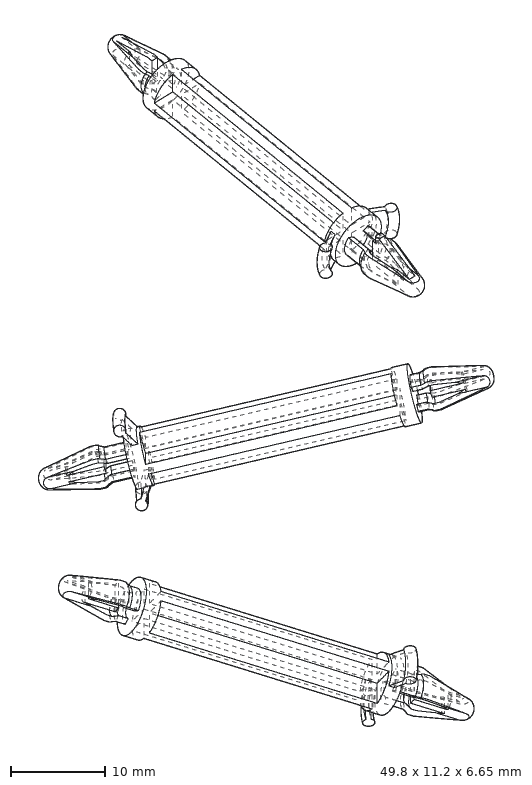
import cadquery as cq
import math

overall_length = 49.75

post_start = 8.6
post_end = 39.7
post_radius = 3.25
collar_length = 1.8
rib_thickness = 1.2

pin_flat_half_height = 1.05
pin_flat_half_width = 0.7
pin_flare_angle = 26
pin_embed = 0.5
flare_margin = 0.5
hollow_start = 3.2
hollow_tip_radius = 1.1
arm_thickness = 0.7
fin_thickness = 0.8

wing_half_height = 2
wing_root_x = 38.4
wing_root_radius = 3
wing_thickness = 0.55
bead_x = 39.7
bead_radius = 0.65
wing_span = 11.2
bead_ring_radius = wing_span / 2 - bead_radius


def revolve_about_axis(profile):
    return profile.revolve(360, (0, 0, 0), (1, 0, 0))


def make_post():
    length = post_end - post_start
    post = cq.Workplane("YZ", origin=(post_start, 0, 0)).circle(post_radius).extrude(length)
    trough_length = length - 2 * collar_length
    trough_offset = (rib_thickness + post_radius) / 2
    troughs = (
        cq.Workplane("YZ", origin=(post_start + collar_length, 0, 0))
        .rarray(2 * trough_offset, 2 * trough_offset, 2, 2)
        .rect(post_radius, post_radius)
        .extrude(trough_length)
    )
    return post.cut(troughs)


def make_pin(length, tip_radius, nose, taper_end, bulge_end, shoulder, neck_start,
             nose_radius, bulge_radius, shoulder_radius, neck_radius, fin_outline):
    """Split pin with its tip at the origin, growing along +X into the post."""
    root = length + pin_embed

    body = revolve_about_axis(
        cq.Workplane("XY")
        .lineTo(0, tip_radius)
        .tangentArcPoint((nose, nose_radius), relative=False)
        .lineTo(taper_end, bulge_radius)
        .lineTo(bulge_end, bulge_radius)
        .tangentArcPoint((shoulder, shoulder_radius), relative=False)
        .lineTo(neck_start, neck_radius)
        .lineTo(root, neck_radius)
        .lineTo(root, 0)
        .close()
    )

    flare_half_width = bulge_radius + flare_margin
    flare_rise = (flare_half_width - pin_flat_half_width) * math.tan(math.radians(pin_flare_angle))
    flare_height = pin_flat_half_height + flare_rise
    envelope = (
        cq.Workplane("YZ")
        .polyline([
            (-flare_half_width, -flare_height),
            (-pin_flat_half_width, -pin_flat_half_height),
            (pin_flat_half_width, -pin_flat_half_height),
            (flare_half_width, -flare_height),
            (flare_half_width, flare_height),
            (pin_flat_half_width, pin_flat_half_height),
            (-pin_flat_half_width, pin_flat_half_height),
            (-flare_half_width, flare_height),
        ])
        .close()
        .extrude(root)
    )

    hollow = revolve_about_axis(
        cq.Workplane("XY").polyline([
            (hollow_start, 0),
            (hollow_start, hollow_tip_radius),
            (taper_end, bulge_radius - arm_thickness),
            (bulge_end, bulge_radius - arm_thickness),
            (neck_start, neck_radius - arm_thickness),
            (root, neck_radius - arm_thickness),
            (root, 0),
        ]).close()
    )

    fin = cq.Workplane("XZ").polyline(fin_outline).close().extrude(fin_thickness / 2, both=True)
    return body.intersect(envelope).cut(hollow).union(fin)


def make_left_pin():
    fin_start = 1.05
    fin_crest = 6.1
    fin_end = 6.8
    fin_top = 2.4
    return make_pin(
        length=post_start, tip_radius=0.2, nose=0.8, taper_end=6.2, bulge_end=6.8,
        shoulder=7.1, neck_start=7.55,
        nose_radius=1.25, bulge_radius=2.35, shoulder_radius=2.2, neck_radius=2.05,
        fin_outline=[
            (fin_start, -pin_flat_half_height),
            (fin_start, pin_flat_half_height),
            (fin_crest, fin_top),
            (fin_end, fin_top),
            (fin_end, -pin_flat_half_height),
        ],
    )


def make_right_pin():
    fin_start = 1.35
    fin_crest = 6.2
    fin_step = 6.8
    fin_end = 7.25
    fin_top = 3.4
    fin_step_height = 2.35
    pin = make_pin(
        length=overall_length - post_end, tip_radius=0.05, nose=0.85, taper_end=6.15, bulge_end=6.8,
        shoulder=7.1, neck_start=7.65,
        nose_radius=1.2, bulge_radius=2.35, shoulder_radius=2.2, neck_radius=1.95,
        fin_outline=[
            (fin_start, -pin_flat_half_height),
            (fin_start, pin_flat_half_height),
            (fin_crest, fin_top),
            (fin_step, fin_top),
            (fin_step, fin_step_height),
            (fin_end, fin_step_height),
            (fin_end, -pin_flat_half_height),
        ],
    )
    return pin.mirror("YZ").translate((overall_length, 0, 0))


def make_wings():
    """Flared ring with a beaded rim, trimmed to a wing on each side."""
    run = bead_x - wing_root_x
    rise = bead_ring_radius - wing_root_radius
    reach = math.hypot(run, rise)
    side_x = wing_thickness / 2 * rise / reach
    side_y = wing_thickness / 2 * run / reach
    web = revolve_about_axis(
        cq.Workplane("XY").polyline([
            (wing_root_x - side_x, wing_root_radius + side_y),
            (bead_x - side_x, bead_ring_radius + side_y),
            (bead_x + side_x, bead_ring_radius - side_y),
            (wing_root_x + side_x, wing_root_radius - side_y),
        ]).close()
    )
    bead = revolve_about_axis(
        cq.Workplane("XY").moveTo(bead_x, bead_ring_radius).circle(bead_radius)
    )
    span = 2 * (bead_ring_radius + bead_radius)
    trim = cq.Workplane("XY").box(span, span, 2 * wing_half_height).translate((bead_x, 0, 0))
    ring = web.union(bead).rotate((0, 0, 0), (1, 0, 0), 90)
    return ring.intersect(trim)


result = make_post().union(make_left_pin()).union(make_right_pin()).union(make_wings())